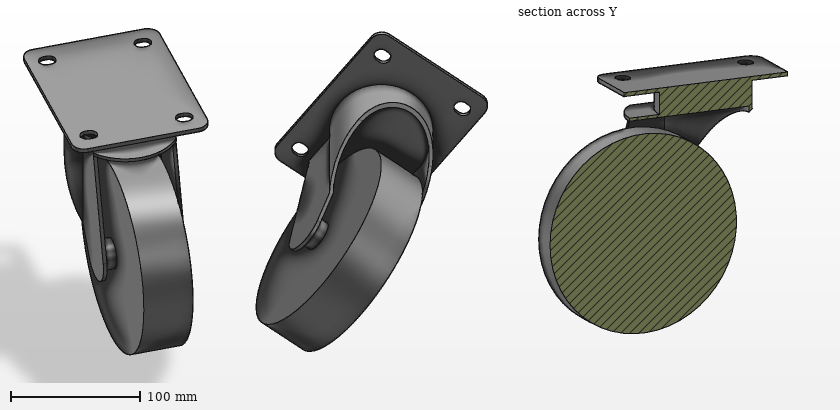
import cadquery as cq
import math


plate_length = 140.0
plate_width = 110.0
plate_thickness = 3.5
plate_corner_radius = 10.0
slot_spacing_x = 105.0
slot_spacing_y = 77.5
slot_width = 11.0
slot_length = 13.5

wheel_radius = 80.0
wheel_width = 40.0
wheel_x = 53.5
wheel_z = -115.0
axle_diameter = 24.5

head_radius = 40.0
sheet_thickness = 3.0
leg_outer_y = 33.5
leg_end_radius = 20.0
fork_top_z = -21.0
web_thickness = 2.8
web_side_end_x = 48.8
web_tip_x = 65.4
leg_rear_top_x = 48.0

front_edge_start_z = -26.0
front_bend_z = -49.7
front_edge_angle = math.radians(54.2)

leg_start_x = math.sqrt(head_radius**2 - leg_outer_y**2)
web_bottom_z = fork_top_z - web_thickness
leg_bottom_z = wheel_z - leg_end_radius


def y_cylinder(radius, width):
    """Cylinder along Y on the wheel axis, centred on the XZ plane."""
    return (
        cq.Workplane("XZ", origin=(wheel_x, width / 2, wheel_z))
        .circle(radius)
        .extrude(width)
    )


def make_plate():
    plate = (
        cq.Workplane("XY")
        .workplane(offset=-plate_thickness)
        .rect(plate_length, plate_width)
        .extrude(plate_thickness)
        .edges("|Z")
        .fillet(plate_corner_radius)
    )
    return (
        plate.faces(">Z")
        .workplane()
        .rarray(slot_spacing_x, slot_spacing_y, 2, 2)
        .slot2D(slot_length, slot_width, 90)
        .cutThruAll()
    )


def make_web():
    """Horizontal web across the fork, closed by a shallow arc at its free end."""
    return (
        cq.Workplane("XY")
        .workplane(offset=web_bottom_z)
        .moveTo(leg_start_x, -leg_outer_y)
        .lineTo(web_side_end_x, -leg_outer_y)
        .threePointArc((web_tip_x, 0), (web_side_end_x, leg_outer_y))
        .lineTo(leg_start_x, leg_outer_y)
        .close()
        .extrude(web_thickness)
    )


def cylinder_with_tail(radius, cylinder_top_z, side_y, tail_top_z):
    """Cylinder on the swivel axis and a straight-sided tail along +X, both down to the leg ends."""
    base = cq.Workplane("XY").workplane(offset=leg_bottom_z)
    cylinder = base.circle(radius).extrude(cylinder_top_z - leg_bottom_z)
    tail_length = wheel_x + leg_end_radius
    tail = base.center(tail_length / 2, 0).rect(tail_length, 2 * side_y)
    return cylinder.union(tail.extrude(tail_top_z - leg_bottom_z))


def make_fork_profile():
    """Side outline of the swivel head and fork legs, spanning their full width."""
    front_tangent_x = wheel_x - leg_end_radius * math.sin(front_edge_angle)
    front_tangent_z = wheel_z - leg_end_radius * math.cos(front_edge_angle)
    bend_x = front_tangent_x - (front_bend_z - front_tangent_z) / math.tan(front_edge_angle)

    rear_dx = leg_rear_top_x - wheel_x
    rear_dz = web_bottom_z - wheel_z
    corner_angle = math.atan2(rear_dz, rear_dx)
    rear_angle = corner_angle - math.acos(leg_end_radius / math.hypot(rear_dx, rear_dz))
    rear_tangent_x = wheel_x + leg_end_radius * math.cos(rear_angle)
    rear_tangent_z = wheel_z + leg_end_radius * math.sin(rear_angle)

    return (
        cq.Workplane("XZ")
        .moveTo(-head_radius, -plate_thickness)
        .lineTo(head_radius, -plate_thickness)
        .lineTo(head_radius, web_bottom_z)
        .lineTo(leg_rear_top_x, web_bottom_z)
        .lineTo(rear_tangent_x, rear_tangent_z)
        .threePointArc((wheel_x, leg_bottom_z), (front_tangent_x, front_tangent_z))
        .lineTo(bend_x, front_bend_z)
        .tangentArcPoint((-head_radius, front_edge_start_z), relative=False)
        .close()
        .extrude(head_radius, both=True)
    )


def make_fork():
    """Solid swivel head and hollow fork, cut to the side outline, with the web added."""
    outer = cylinder_with_tail(head_radius, -plate_thickness, leg_outer_y, fork_top_z)
    inner_radius = head_radius - sheet_thickness
    inner_side_y = leg_outer_y - sheet_thickness
    cavity = cylinder_with_tail(inner_radius, web_bottom_z, inner_side_y, web_bottom_z)
    return outer.intersect(make_fork_profile()).cut(cavity).union(make_web())


wheel = y_cylinder(wheel_radius, wheel_width)
axle_length = 2 * leg_outer_y - sheet_thickness
axle = y_cylinder(axle_diameter / 2, axle_length)

result = make_plate().union(make_fork()).union(axle).union(wheel).clean()